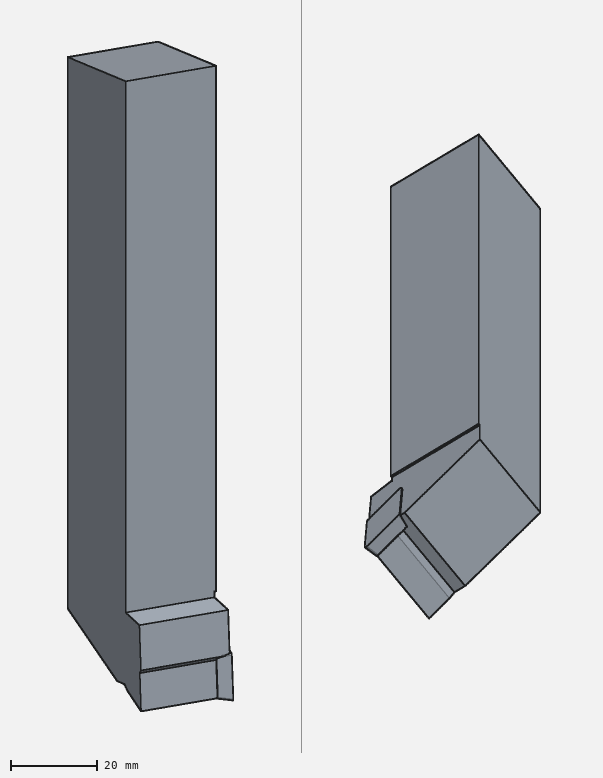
import cadquery as cq
import math

LENGTH = 151.4
SHANK = 25.0
REACH = 32.4

INSCRIBED_DIAMETER = 9.5
INSERT_THICKNESS = 4.0
NOSE_ANGLE = 55.0
CLEARANCE_ANGLE = 7.0
NOSE_RADIUS = 0.5
LEAD_ANGLE = 93.5
END_ANGLE = LEAD_ANGLE + NOSE_ANGLE
INSERT_EDGE = INSCRIBED_DIAMETER / math.sin(math.radians(NOSE_ANGLE))

SHOULDER_Z = 23.3
HEAD_TOP_X = 30.9
HEAD_TOP_Z = 21.6
HEEL_Z = 18.5
RELIEF = 0.8
SIDE_RELIEF_Z = 10.9
END_RELIEF_LENGTH = 6.8
BEVEL_FOOT_X = 21.3
STEP_Z = 5.9
STEP_WIDTH = 3.0
RAKE_STEP = 0.5
RAKE_STEP_Z = 24.7


def move(point, angle, distance):
    """Point reached from another by going a distance along an angle in the XZ plane."""
    direction = math.radians(angle)
    return (point[0] + distance * math.cos(direction), point[1] + distance * math.sin(direction))


HALF_NOSE_ANGLE = NOSE_ANGLE / 2
NOSE_CENTER = (REACH - NOSE_RADIUS, NOSE_RADIUS)
SHARP_NOSE = move(
    NOSE_CENTER,
    LEAD_ANGLE + HALF_NOSE_ANGLE,
    -NOSE_RADIUS / math.sin(math.radians(HALF_NOSE_ANGLE)),
)


def make_insert():
    """Rhombus with rounded corners, tapering from its top face by the clearance angle."""
    side_corner = move(SHARP_NOSE, LEAD_ANGLE, INSERT_EDGE)
    end_corner = move(SHARP_NOSE, END_ANGLE, INSERT_EDGE)
    far_corner = move(side_corner, END_ANGLE, INSERT_EDGE)
    blank = (
        cq.Workplane("XZ", origin=(0, SHANK, 0))
        .polyline([SHARP_NOSE, side_corner, far_corner, end_corner])
        .close()
        .extrude(INSERT_THICKNESS, taper=CLEARANCE_ANGLE)
    )
    return blank.edges("not(<Y or >Y)").fillet(NOSE_RADIUS).solids()


def make_holder(insert):
    """Square shank with a beveled head, set back below the insert and pocketed for it."""
    head_side = move(
        (HEAD_TOP_X, HEAD_TOP_Z),
        LEAD_ANGLE,
        (SIDE_RELIEF_Z - HEAD_TOP_Z) / math.sin(math.radians(LEAD_ANGLE)),
    )
    relief_corner = move(
        SHARP_NOSE,
        LEAD_ANGLE + HALF_NOSE_ANGLE,
        RELIEF / math.sin(math.radians(HALF_NOSE_ANGLE)),
    )
    side_relief_top = move(relief_corner, LEAD_ANGLE, SIDE_RELIEF_Z - RELIEF - relief_corner[1])
    end_relief_top = move(relief_corner, END_ANGLE, END_RELIEF_LENGTH)

    body = (
        cq.Workplane("XZ", origin=(0, SHANK, 0))
        .polyline([
            (0, LENGTH),
            (SHANK, LENGTH),
            (SHANK, SHOULDER_Z),
            (HEAD_TOP_X, HEAD_TOP_Z),
            head_side,
            side_relief_top,
            relief_corner,
            end_relief_top,
            (BEVEL_FOOT_X + STEP_WIDTH, STEP_Z),
            (BEVEL_FOOT_X, STEP_Z),
            (0, HEEL_Z),
        ])
        .close()
        .extrude(SHANK)
    )
    rake_step = cq.Workplane("XY").box(REACH, RAKE_STEP, RAKE_STEP_Z, centered=False)
    rake_step = rake_step.translate((0, SHANK - RAKE_STEP, 0))
    return body.cut(rake_step).cut(insert).solids()


insert = make_insert()
holder = make_holder(insert)

result = cq.Compound.makeCompound([holder.val(), insert.val()])